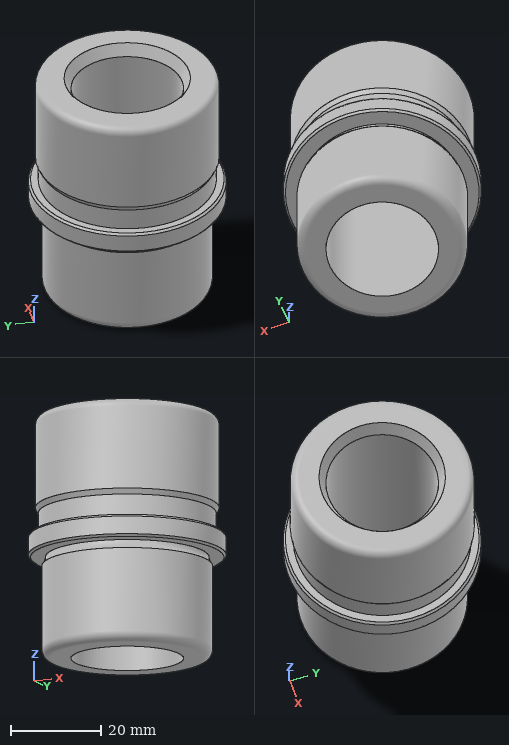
import cadquery as cq

total_height = 55.0
bore_diameter = 24.95
bore_mouth_diameter = 28.05
bore_mouth_depth = 2.7

collar_diameter = 44.0
collar_bottom = 23.0
collar_height = 5.0
collar_chamfer = 0.5

head_diameter = 40.9
head_edge_radius = 2.0
neck_diameter = 39.6
neck_height = 5.0
neck_taper_height = 1.2

shank_diameter = 37.95
shank_edge_radius = 2.0
relief_depth = 0.75
relief_height = 2.0

bore_radius = bore_diameter / 2
collar_radius = collar_diameter / 2
head_radius = head_diameter / 2
neck_radius = neck_diameter / 2
shank_radius = shank_diameter / 2
relief_radius = (relief_height**2 + relief_depth**2) / (2 * relief_depth)
collar_top = collar_bottom + collar_height
neck_top = collar_top + neck_height


def make_body():
    """Revolve the stepped outside profile as a solid bar."""
    profile = (
        cq.Workplane("XZ")
        .lineTo(shank_radius, 0)
        .lineTo(shank_radius, collar_bottom - relief_height)
        .radiusArc((shank_radius - relief_depth, collar_bottom), relief_radius)
        .lineTo(collar_radius, collar_bottom)
        .lineTo(collar_radius, collar_top)
        .lineTo(neck_radius, collar_top)
        .lineTo(neck_radius, neck_top)
        .lineTo(head_radius, neck_top + neck_taper_height)
        .lineTo(head_radius, total_height)
        .lineTo(0, total_height)
        .close()
    )
    return profile.revolve(360, (0, 0, 0), (0, 1, 0))


def break_edges(body):
    """Round both ends and chamfer the two rims of the collar."""
    body = body.faces(">Z").edges().fillet(head_edge_radius)
    body = body.faces("<Z").edges().fillet(shank_edge_radius)
    collar_rims = cq.selectors.RadiusNthSelector(-1)
    return body.edges("%CIRCLE").edges(collar_rims).chamfer(collar_chamfer)


def make_bore():
    """Through bore with a conical mouth at the head end."""
    mouth_radius = bore_mouth_diameter / 2
    profile = (
        cq.Workplane("XZ")
        .lineTo(bore_radius, 0)
        .lineTo(bore_radius, total_height - bore_mouth_depth)
        .lineTo(mouth_radius, total_height)
        .lineTo(0, total_height)
        .close()
    )
    return profile.revolve(360, (0, 0, 0), (0, 1, 0))


result = break_edges(make_body()).cut(make_bore())